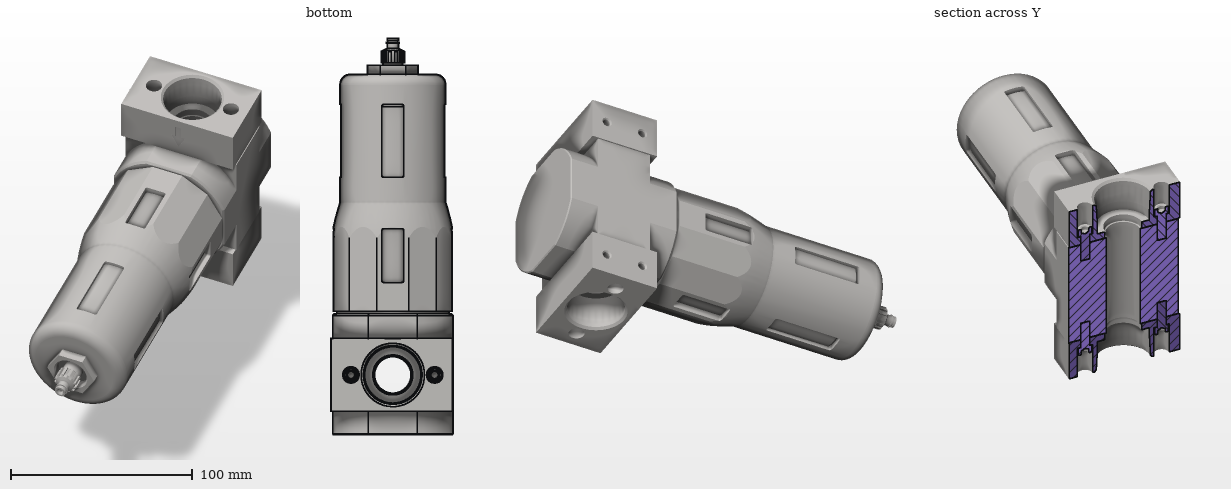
import cadquery as cq
import math


housing_half = 33.1
housing_back = 33.0
housing_front = -33.5
flat_half_width = 13.5
core_half_length = 16.1
housing_radius = math.hypot(housing_half, flat_half_width)
back_chamfer = 0.7
front_chamfer = 1.0
flow_bore = 20.0

plate_left = -34.0
plate_right = 32.7
plate_half_length = 20.0
plate_outer = 58.0
plate_height = plate_outer - housing_half
plate_bore = 22.0
port_mouth = 34.9
port_chamfer = 1.3
port_taper_diameter = 31.0
port_taper_depth = 14.8
port_depth = 20.5
side_hole_diameter = 4.1
side_hole_mouth = 5.7
side_hole_depth = 5.5
side_hole_spacing = 22.0
side_hole_z = 45.8

arrow_depth = 0.2
arrow_length = 15.0
arrow_head_length = 7.8
arrow_head_half = 4.1
arrow_shaft_half = 1.7
arrow_drop = 5.0

drill_point_slope = math.tan(math.radians(30))

screw_spacing = 46.0
screw_x = screw_spacing / 2
screw_hole = 9.0
screw_head = 8.5
screw_head_height = 5.0
screw_head_chamfer = 0.7
screw_socket = 4.1
screw_socket_mouth = 5.2
screw_socket_depth = 2.6
screw_shank = 5.0
screw_head_top = 43.5
screw_seat = screw_head_top - screw_head_height
screw_tip = 21.8

guard_sides = 12
guard_flats = 65.2
guard_top = -34.9
guard_corner_radius = guard_flats / 2 / math.cos(math.pi / guard_sides)
shoulder_top = -75.2
shoulder_mid = -84.8
shoulder_mid_radius = 31.8
shoulder_end = -94.8
guard_diameter = 58.2
guard_radius = guard_diameter / 2
guard_bottom = -165.2
guard_fillet = 5.9
guard_fillet_mid = guard_fillet * (1 - math.sqrt(0.5))

slot_width = 12.0
slot_corner = 1.0
upper_slot = (-50.8, -80.5)
lower_slot = (-108.5, -148.7)

bowl_collar_radius = 31.0
bowl_upper_radius = 29.2
bowl_upper_end = -87.2
bowl_lower_radius = 27.2
bowl_foot_radius = 26.8
bowl_foot = -147.4
bowl_bottom = -159.1
bowl_floor_radius = 17.5
hex_flats = 24.2
hex_end = -170.3
hex_bore = 18.3
hex_bore_mouth = 20.0
hex_bore_chamfer = (hex_bore_mouth - hex_bore) / 2
hex_bore_floor = -165.7

drain_stem = 11.0
knurl_diameter = 13.0
knurl_start = -171.5
knurl_end = -177.7
knurl_teeth = 12
knurl_groove_width = 2.0
knurl_groove_depth = 1.3
drain_cone_end = -179.5
nozzle_diameter = 6.3
barb_diameter = 7.2
barb_start = -182.2
barb_end = -183.0
groove_diameter = 5.7
groove_end = -184.0
nozzle_end = -185.0
nozzle_bore = 3.0
nozzle_mouth = 4.1
nozzle_bore_depth = 4.4


def rod_y(diameter, start, end):
    """Cylinder on the Y axis from `start` down to `end`."""
    return cq.Workplane("XZ", origin=(0, start, 0)).circle(diameter / 2).extrude(start - end)


def rod_z(diameter, low, high):
    """Cylinder on the Z axis between two heights."""
    return cq.Workplane("XY", origin=(0, 0, low)).circle(diameter / 2).extrude(high - low)


def prism_y(sides, flats, start, end):
    """Regular prism along Y, with flat sides facing +Z and -Z."""
    corner_diameter = flats / math.cos(math.pi / sides)
    turn = 0 if sides % 4 else 180 / sides
    prism = cq.Workplane("XZ", origin=(0, start, 0)).polygon(sides, corner_diameter).extrude(start - end)
    return prism.rotate((0, 0, 0), (0, 1, 0), turn)


def turned(points):
    """Solid turned around the Y axis from (radius, y) corners."""
    return cq.Workplane("XY").polyline(points).close().revolve(360, (0, 0), (0, 1))


def drilled_hole(diameter, mouth, depth):
    """Cutter along +Y from the origin: a blind hole with a 45 degree mouth and a drill point."""
    radius = diameter / 2
    mouth_radius = mouth / 2
    return turned(
        [
            (0, 0),
            (mouth_radius, 0),
            (radius, mouth_radius - radius),
            (radius, depth),
            (0, depth + radius * drill_point_slope),
        ]
    )


def placed_on_side(body, side):
    """The body itself for the upper side (1), or its mirror image for the lower side (-1)."""
    return body if side > 0 else body.mirror("XY")


def make_screw(x, side):
    """Cap screw in a port plate; `side` is 1 for the upper plate and -1 for the lower one."""
    head = rod_z(screw_head, screw_seat, screw_head_top).faces(">Z").chamfer(screw_head_chamfer)
    socket = drilled_hole(screw_socket, screw_socket_mouth, screw_socket_depth)
    socket = socket.rotate((0, 0, 0), (1, 0, 0), -90).translate((0, 0, screw_head_top))
    screw = head.union(rod_z(screw_shank, screw_tip, screw_seat)).cut(socket)
    return placed_on_side(screw.translate((x, 0, 0)), side)


def make_screw_holes():
    """Clearance for the four screws, through the plates and into the housing."""
    holes = cq.Workplane("XY")
    for x in (-screw_x, screw_x):
        counterbore = rod_z(screw_hole, screw_seat, plate_outer)
        shank_hole = rod_z(screw_shank, screw_tip, screw_seat)
        hole = counterbore.union(shank_hole).translate((x, 0, 0))
        holes = holes.add(hole).add(hole.mirror("XY"))
    return holes.combine()


def make_housing():
    """Round barrel with four flats, and a square core between the plates."""
    barrel = rod_y(2 * housing_radius, housing_back, housing_front)
    flats = prism_y(4, 2 * housing_half, housing_back, housing_front)
    core = prism_y(4, 2 * housing_half, core_half_length, -core_half_length)
    barrel = barrel.intersect(flats)
    barrel = barrel.faces(">Y").chamfer(back_chamfer).faces("<Y").chamfer(front_chamfer)
    outer = barrel.union(core)
    return outer.cut(rod_z(flow_bore, -housing_half, housing_half)).cut(make_screw_holes())


def make_side_holes():
    """Two drilled blind holes in the -X face of the upper plate."""
    hole = drilled_hole(side_hole_diameter, side_hole_mouth, side_hole_depth)
    hole = hole.rotate((0, 0, 0), (0, 0, 1), -90)
    holes = cq.Workplane("XY")
    for y in (-side_hole_spacing / 2, side_hole_spacing / 2):
        holes = holes.add(hole.translate((plate_left, y, side_hole_z)))
    return holes.combine()


def make_arrow(tail_z):
    """Flow arrow pointing to -Z, sunk into the -Y face of a plate."""
    neck_z = tail_z - arrow_length + arrow_head_length
    outline = [
        (-arrow_shaft_half, tail_z),
        (arrow_shaft_half, tail_z),
        (arrow_shaft_half, neck_z),
        (arrow_head_half, neck_z),
        (0, tail_z - arrow_length),
        (-arrow_head_half, neck_z),
        (-arrow_shaft_half, neck_z),
    ]
    face = cq.Workplane("XZ", origin=(0, -plate_half_length, 0))
    return face.polyline(outline).close().extrude(-arrow_depth)


def make_port():
    """Tapered port of the upper plate, with a chamfered mouth and a bore into the housing."""
    mouth_radius = port_mouth / 2
    taper_radius = port_taper_diameter / 2
    profile = [
        (0, plate_outer),
        (mouth_radius, plate_outer),
        (mouth_radius - port_chamfer, plate_outer - port_chamfer),
        (taper_radius, plate_outer - port_taper_depth),
        (taper_radius, plate_outer - port_depth),
        (plate_bore / 2, plate_outer - port_depth),
        (plate_bore / 2, housing_half),
        (0, housing_half),
    ]
    return turned(profile).rotate((0, 0, 0), (1, 0, 0), 90)


def make_plate(side):
    """Port plate on top of the housing (`side` 1) or below it (`side` -1)."""
    block = (
        cq.Workplane("XY", origin=(0, -plate_half_length, housing_half))
        .box(plate_right - plate_left, 2 * plate_half_length, plate_height, centered=False)
        .translate((plate_left, 0, 0))
    )
    block = block.cut(make_port()).cut(make_side_holes())
    block = placed_on_side(block, side).cut(make_screw_holes())
    top_z = plate_outer if side > 0 else -housing_half
    return block.cut(make_arrow(top_z - arrow_drop))


def make_slot(limits):
    """Cutter for four slots through the guard wall, one on each of +X, -X, +Z and -Z."""
    start, end = limits
    slot = (
        cq.Workplane("XY", origin=(0, (start + end) / 2, 0))
        .rect(slot_width, start - end)
        .extrude(guard_flats)
        .edges("|Z")
        .fillet(slot_corner)
    )
    slots = cq.Workplane("XY")
    for turn in range(0, 360, 90):
        slots = slots.add(slot.rotate((0, 0, 0), (0, 1, 0), turn))
    return slots.combine()


def make_bowl_core():
    """Outer shape of the bowl without the bore for the drain valve."""
    profile = (
        cq.Workplane("XY")
        .moveTo(0, housing_front)
        .lineTo(bowl_collar_radius, housing_front)
        .lineTo(bowl_collar_radius, guard_top)
        .lineTo(bowl_upper_radius, guard_top)
        .lineTo(bowl_upper_radius, bowl_upper_end)
        .lineTo(bowl_lower_radius, bowl_upper_end)
        .lineTo(bowl_foot_radius, bowl_foot)
        .lineTo(bowl_floor_radius, bowl_bottom)
        .lineTo(0, bowl_bottom)
        .close()
    )
    core = profile.revolve(360, (0, 0), (0, 1))
    return core.union(prism_y(6, hex_flats, bowl_bottom, hex_end))


def make_bowl():
    """Bowl with its hexagonal boss, bored for the drain valve."""
    mouth_radius = hex_bore_mouth / 2
    bore_radius = hex_bore / 2
    bore = [
        (0, hex_end),
        (mouth_radius, hex_end),
        (bore_radius, hex_end + hex_bore_chamfer),
        (bore_radius, hex_bore_floor),
        (0, hex_bore_floor),
    ]
    return make_bowl_core().cut(turned(bore))


def make_guard():
    """Twelve-sided grip that runs through a shoulder into a round sleeve around the bowl."""
    outline = (
        cq.Workplane("XY")
        .moveTo(0, guard_top)
        .lineTo(guard_corner_radius, guard_top)
        .lineTo(guard_corner_radius, shoulder_top)
        .threePointArc((shoulder_mid_radius, shoulder_mid), (guard_radius, shoulder_end))
        .lineTo(guard_radius, guard_bottom + guard_fillet)
        .threePointArc(
            (guard_radius - guard_fillet_mid, guard_bottom + guard_fillet_mid),
            (guard_radius - guard_fillet, guard_bottom),
        )
        .lineTo(0, guard_bottom)
        .close()
        .revolve(360, (0, 0), (0, 1))
    )
    grip = prism_y(guard_sides, guard_flats, guard_top, guard_bottom)
    shell = outline.intersect(grip).cut(make_bowl_core())
    return shell.cut(make_slot(upper_slot)).cut(make_slot(lower_slot))


def make_drain_valve():
    """Knurled drain valve with a barbed nozzle."""
    valve = turned(
        [
            (0, hex_bore_floor),
            (drain_stem / 2, hex_bore_floor),
            (drain_stem / 2, knurl_start),
            (knurl_diameter / 2, knurl_start),
            (knurl_diameter / 2, knurl_end),
            (nozzle_diameter / 2, drain_cone_end),
            (nozzle_diameter / 2, barb_start),
            (barb_diameter / 2, barb_start),
            (barb_diameter / 2, barb_end),
            (groove_diameter / 2, barb_end),
            (groove_diameter / 2, groove_end),
            (nozzle_diameter / 2, groove_end),
            (nozzle_diameter / 2, nozzle_end),
            (0, nozzle_end),
        ]
    )
    groove_length = knurl_start - drain_cone_end
    groove = (
        cq.Workplane("XY")
        .box(knurl_groove_width, groove_length, 2 * knurl_groove_depth)
        .translate((0, (knurl_start + drain_cone_end) / 2, knurl_diameter / 2))
    )
    for tooth in range(knurl_teeth):
        valve = valve.cut(groove.rotate((0, 0, 0), (0, 1, 0), tooth * 360 / knurl_teeth))
    bore = drilled_hole(nozzle_bore, nozzle_mouth, nozzle_bore_depth)
    return valve.cut(bore.translate((0, nozzle_end, 0)))


housing = make_housing()
plates = [make_plate(side) for side in (1, -1)]
screws = [make_screw(x, side) for side in (1, -1) for x in (-screw_x, screw_x)]
guard = make_guard()
bowl = make_bowl()
drain_valve = make_drain_valve()

result = cq.Compound.makeCompound(
    [
        housing.val(),
        *[plate.val() for plate in plates],
        *[screw.val() for screw in screws],
        guard.val(),
        bowl.val(),
        drain_valve.val(),
    ]
)